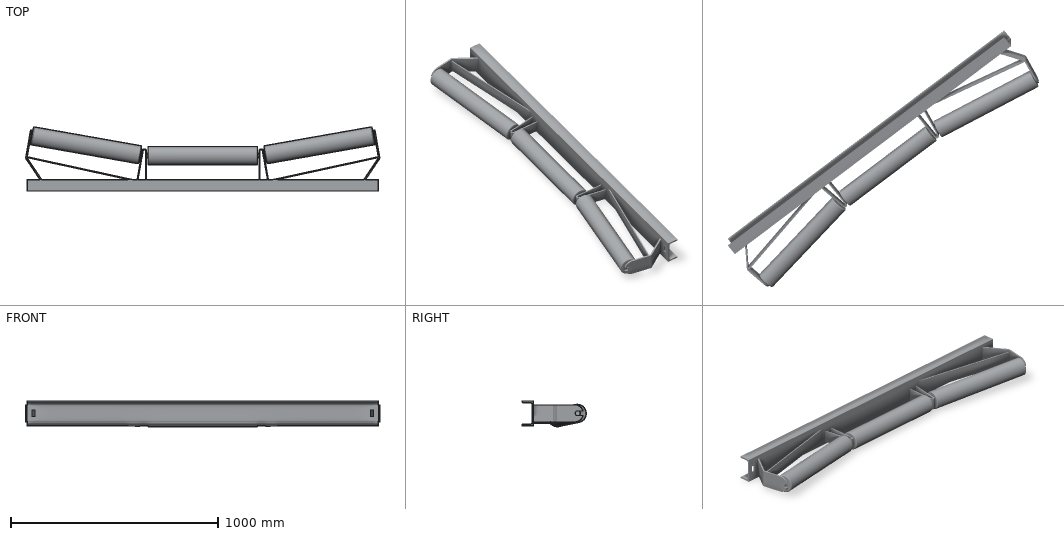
import cadquery as cq
import math

beam_length = 1697.0
beam_height = 120.0
flange_width = 55.0
web_thickness = 7.0
flange_thickness = 9.0
beam_root_radius = 9.0
flange_tip_radius = 4.3
beam_hole_x = 818.0
beam_hole_width = 15.0
beam_hole_height = 30.0
web_face_y = flange_width

roller_length = 530.0
roller_diameter = 89.0
roller_rim_radius = 4.3
shaft_diameter = 25.0
shaft_flat_width = 20.0
centre_roller_y = 171.0
centre_roller_z = -20.0
wing_angle = 10.0
wing_tilt = 2.0
wing_end_x = 825.0
wing_end_y = 267.0

outer_thickness = 7.7
outer_height = 82.0
outer_bend_radius = 7.0
outer_bend_x = 852.0
outer_bend_y = 159.0
outer_foot_x = 782.0
outer_tip_y = 255.0

inner_thickness = 5.0
inner_bottom_z = -48.0
inner_top_z = 10.0
inner_plate_x = 274.0
inner_arch_width = 15.0
inner_top_y = 204.0
inner_bend_radius = 5.0

brace_thickness = 5.0
brace_height = 60.0
brace_foot_x = 347.0
brace_top_y = 165.0

angle = math.radians(wing_angle)
tilt = math.radians(wing_tilt)
plate_lean = math.tan(angle)
plate_normal = cq.Vector(math.cos(angle), math.sin(angle), 0)
wing_end = cq.Vector(wing_end_x, wing_end_y, 0)
wing_axis = cq.Vector(
    -math.cos(tilt) * math.cos(angle),
    -math.cos(tilt) * math.sin(angle),
    -math.sin(tilt),
)
arch_y = inner_top_y - inner_thickness / 2
arch_x = inner_plate_x + inner_arch_width


def strip_corners(path, thickness):
    """Left and right corner of a strip of constant thickness at each point of its path."""
    corners = []
    last = len(path) - 1
    for i, point in enumerate(path):
        way_in = path[max(i, 1)] - path[max(i, 1) - 1]
        way_out = path[min(i, last - 1) + 1] - path[min(i, last - 1)]
        normal_in = cq.Vector(-way_in.y, way_in.x).normalized()
        normal_out = cq.Vector(-way_out.y, way_out.x).normalized()
        miter = (normal_in + normal_out).normalized()
        shift = miter * (thickness / 2 / miter.dot(normal_in))
        corners.append((point + shift, point - shift))
    return corners


def bent_plate(points, thickness, bottom_z, top_z, bend_radius=0.0):
    """Plate standing along Z on a path in XY, with rounded bends, its feet cut flush with the web."""
    path = [cq.Vector(*point) for point in points]
    corners = strip_corners(path, thickness)
    outline = [(left.x, left.y) for left, right in corners]
    outline += [(right.x, right.y) for left, right in reversed(corners)]
    plate = cq.Workplane("XY", origin=(0, 0, bottom_z)).polyline(outline).close().extrude(top_z - bottom_z)

    for i in range(1, len(path) - 1):
        left, right = corners[i]
        turns_left = (path[i] - path[i - 1]).cross(path[i + 1] - path[i]).z > 0
        inside, outside = (left, right) if turns_left else (right, left)
        for corner, radius in ((inside, bend_radius), (outside, bend_radius + thickness)):
            nearest = cq.selectors.NearestToPointSelector((corner.x, corner.y, (bottom_z + top_z) / 2))
            plate = plate.edges("|Z").edges(nearest).fillet(radius)

    below_web_face = cq.Workplane().box(2 * beam_length, 2 * web_face_y, 2 * beam_height)
    return plate.cut(below_web_face)


def make_beam():
    outer_z = beam_height / 2
    inner_z = outer_z - flange_thickness
    web_back_y = web_face_y - web_thickness
    profile = [
        (0, -outer_z),
        (web_face_y, -outer_z),
        (web_face_y, outer_z),
        (0, outer_z),
        (0, inner_z),
        (web_back_y, inner_z),
        (web_back_y, -inner_z),
        (0, -inner_z),
    ]
    beam = cq.Workplane("YZ").polyline(profile).close().extrude(beam_length / 2, both=True)
    for z in (-inner_z, inner_z):
        for y, radius in ((web_back_y, beam_root_radius), (0, flange_tip_radius)):
            nearest = cq.selectors.NearestToPointSelector((0, y, z))
            beam = beam.edges("|X").edges(nearest).fillet(radius)
    holes = (
        cq.Workplane()
        .pushPoints([(-beam_hole_x, web_face_y), (beam_hole_x, web_face_y)])
        .box(beam_hole_width, 4 * web_thickness, beam_hole_height)
    )
    return beam.cut(holes)


def axis_plane(start, axis):
    """Plane across a roller axis, its local X as near to world Z as the axis allows."""
    return cq.Plane(origin=start, xDir=cq.Vector(0, 0, 1) - axis * axis.z, normal=axis)


def flatted_shaft(start, axis, length):
    """Round shaft with two flats that face up and down in Z."""
    plane = axis_plane(start, axis)
    shaft = cq.Workplane(plane).circle(shaft_diameter / 2).extrude(length)
    between_flats = cq.Workplane(plane).rect(shaft_flat_width, shaft_diameter).extrude(length)
    return shaft.intersect(between_flats)


def make_roller(start, axis, reach_before, reach_after):
    """Roller from a start point along its axis, with its shaft sticking out at both ends."""
    drum = cq.Workplane(axis_plane(start, axis)).circle(roller_diameter / 2).extrude(roller_length)
    drum = drum.edges("%CIRCLE").fillet(roller_rim_radius)
    shaft_length = reach_before + roller_length + reach_after
    return drum.union(flatted_shaft(start - axis * reach_before, axis, shaft_length))


def make_centre_roller():
    start = cq.Vector(-roller_length / 2, centre_roller_y, centre_roller_z)
    reach = inner_plate_x + inner_thickness / 2 - roller_length / 2
    return make_roller(start, cq.Vector(1, 0, 0), reach, reach)


def distance_to_plate(plate_point):
    """Distance along the wing axis, from the outer end of the drum, to a leaning plate."""
    return (plate_point - wing_end).dot(plate_normal) / wing_axis.dot(plate_normal)


def make_wing_roller():
    """Roller whose shaft ends at the far faces of its two bracket plates."""
    to_outer_plate = -distance_to_plate(cq.Vector(outer_bend_x, outer_bend_y))
    to_inner_plate = distance_to_plate(cq.Vector(arch_x, arch_y)) - roller_length
    return make_roller(
        wing_end,
        wing_axis,
        to_outer_plate + outer_thickness / 2,
        to_inner_plate + inner_thickness / 2,
    )


def make_shaft_slot():
    """Space of the wing shaft at its outer end, open towards the tip of the bracket."""
    slot_length = 2 * (outer_bend_x - wing_end_x)
    start = wing_end - wing_axis * slot_length
    opening = (
        cq.Workplane(axis_plane(start, wing_axis))
        .center(0, outer_height / 2)
        .rect(shaft_flat_width, outer_height)
        .extrude(slot_length)
    )
    return opening.union(flatted_shaft(start, wing_axis, slot_length))


def make_outer_bracket():
    foot_lean = (outer_bend_x - outer_foot_x) / (outer_bend_y - web_face_y)
    tip_x = outer_bend_x - plate_lean * (outer_tip_y - outer_bend_y)
    path = [
        (outer_foot_x - foot_lean * web_face_y, 0),
        (outer_bend_x, outer_bend_y),
        (tip_x, outer_tip_y),
    ]
    plate = bent_plate(path, outer_thickness, -outer_height / 2, outer_height / 2, outer_bend_radius)
    tip_plane = cq.Plane(origin=(tip_x, outer_tip_y, 0), xDir=(0, 0, 1), normal=plate_normal)
    round_tip = cq.Workplane(tip_plane).circle(outer_height / 2).extrude(outer_thickness / 2, both=True)
    return plate.union(round_tip).cut(make_shaft_slot())


def make_inner_bracket(*rollers):
    """Arched plate with a matching hole for the shaft of each roller it carries."""
    path = [
        (inner_plate_x, 0),
        (inner_plate_x, arch_y),
        (arch_x, arch_y),
        (arch_x + plate_lean * arch_y, 0),
    ]
    bracket = bent_plate(path, inner_thickness, inner_bottom_z, inner_top_z, inner_bend_radius)
    for roller in rollers:
        bracket = bracket.cut(roller)
    return bracket


def make_brace(outer_bracket):
    """Straight plate that ends on the inner face of the outer bracket."""
    lean = (outer_bend_x - brace_foot_x) / (brace_top_y - web_face_y)
    path = [(brace_foot_x - lean * web_face_y, 0), (outer_bend_x, brace_top_y)]
    brace = bent_plate(path, brace_thickness, -brace_height / 2, brace_height / 2)
    return brace.cut(outer_bracket)


beam = make_beam()
centre_roller = make_centre_roller()
wing_roller = make_wing_roller()
outer_bracket = make_outer_bracket()
inner_bracket = make_inner_bracket(centre_roller, wing_roller)
brace = make_brace(outer_bracket)

bodies = [beam, centre_roller]
for right_body in (wing_roller, outer_bracket, inner_bracket, brace):
    left_body = right_body.mirror("YZ")
    bodies += [right_body, left_body]

result = cq.Compound.makeCompound([body.val() for body in bodies])